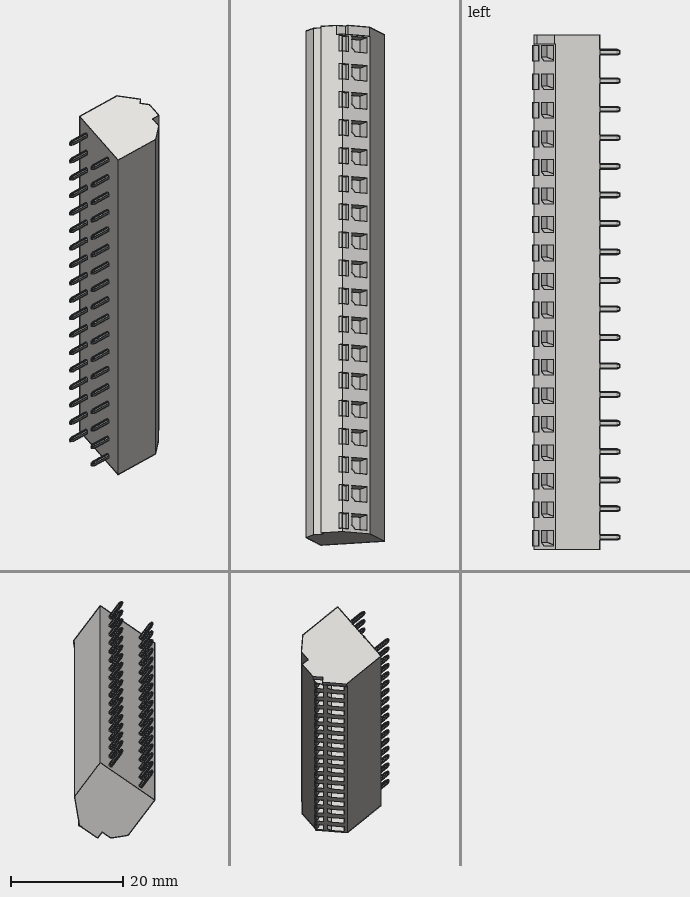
import cadquery as cq
import math


pole_count = 18
pole_pitch = 5.08
body_width = 12.0
body_length = 91.67
pin_length = 3.6
overall_depth = 15.57

body_height = 11.74
entry_corner_height = 7.85
back_corner_height = 8.15
back_step_x = 7.9
back_step_height = 10.36
back_slope_run = back_step_height - back_corner_height

cap_length = 1.65
cap_rise = 0.25
crest_x = 3.05
groove_depth = 0.65

first_pole_z = body_length - 3.1
pole_width = 2.8
pole_drop = 0.2

lever_tip_height = overall_depth - pin_length
lever_tip_x = 3.85
lever_lean = 0.35
lever_bend_height = 10.8

entry_top_height = 10.4
entry_bottom_height = 8.28
entry_straight_depth = 1.4
entry_depth = 2.9
entry_corner_chamfer = 0.7
entry_flare_angle = 20.0

pin_columns_x = (2.2, 8.85)
pin_width = 0.6
pin_thickness = 1.05
pin_edge_chamfer = 0.2
pin_tip_length = 0.5
pin_tip_scale = 0.55
pin_embed = 0.5

pole_bottom = -pole_drop - pole_width / 2
pole_positions_z = [first_pole_z - i * pole_pitch for i in range(pole_count)]


def slope_point(height):
    """Point on the 45 degree entry slope of the body at a given Y."""
    return (height - entry_corner_height, height)


def extrude_outline(points, z_start, length):
    return cq.Workplane("XY", origin=(0, 0, z_start)).polyline(points).close().extrude(length)


def back_outline():
    """Outline shared by body and cap: base, back side, back slope and step up to the flat top."""
    return [
        (0, 0),
        (body_width, 0),
        (body_width, back_corner_height),
        (body_width - back_slope_run, back_step_height),
        (back_step_x, back_step_height),
        (back_step_x, body_height),
    ]


def make_body():
    outline = back_outline() + [slope_point(body_height), slope_point(entry_corner_height)]
    return extrude_outline(outline, 0, body_length - cap_length)


def make_end_cap():
    corner_height = entry_corner_height + cap_rise
    crest = (crest_x, corner_height + crest_x)
    groove = (crest[0] + groove_depth, crest[1] - groove_depth)
    flat_start = (groove[0] + body_height - groove[1], body_height)
    outline = back_outline() + [flat_start, groove, crest, (0, corner_height)]
    return extrude_outline(outline, body_length - cap_length, cap_length)


def make_groove_cut():
    """Open the slope in front of the lever."""
    crest = slope_point(crest_x + entry_corner_height)
    groove = (crest[0] + groove_depth, crest[1] - groove_depth)
    outline = [
        crest,
        groove,
        (lever_tip_x + lever_lean, lever_bend_height),
        (lever_tip_x, lever_tip_height),
        (crest[0], lever_tip_height),
    ]
    return extrude_outline(outline, pole_bottom, pole_width)


def make_lever_tip():
    """Ridge of the lever standing out of the flat top."""
    root_x = lever_tip_x + lever_lean
    outline = [
        (lever_tip_x, lever_tip_height),
        (root_x, lever_bend_height),
        (root_x + lever_lean, lever_bend_height),
        (root_x + lever_lean, body_height),
    ]
    return extrude_outline(outline, pole_bottom, pole_width)


def make_wire_entry():
    """Pocket square to the slope: a straight mouth, a flared upper wall, chamfered lower corners."""
    mouth_top = slope_point(entry_top_height)
    mouth_bottom = slope_point(entry_bottom_height)
    mouth_height = math.dist(mouth_top, mouth_bottom)
    flare = (entry_depth - entry_straight_depth) * math.tan(math.radians(entry_flare_angle))
    mouth_plane = cq.Plane(
        origin=(mouth_bottom[0], mouth_bottom[1], -pole_drop),
        xDir=(1, 1, 0),
        normal=(-1, 1, 0),
    )
    side_plane = cq.Plane(
        origin=(mouth_bottom[0], mouth_bottom[1], pole_bottom),
        xDir=(1, 1, 0),
        normal=(0, 0, 1),
    )
    side_outline = [
        (0, 0),
        (mouth_height, 0),
        (mouth_height, -entry_straight_depth),
        (mouth_height - flare, -entry_depth),
        (0, -entry_depth),
    ]
    pocket = cq.Workplane(side_plane).polyline(side_outline).close().extrude(pole_width)
    lower_edge = pole_width / 2
    corner_outline = [
        (mouth_height - entry_corner_chamfer, lower_edge),
        (mouth_height, lower_edge),
        (mouth_height, lower_edge - entry_corner_chamfer),
    ]
    corner = cq.Workplane(mouth_plane).polyline(corner_outline).close().extrude(-entry_depth)
    return pocket.cut(corner)


def make_pin(x):
    """Flat pin with bevelled edges and a tapered tip."""
    shank_length = pin_length - pin_tip_length
    shank = (
        cq.Workplane("XZ", origin=(x, pin_embed, 0))
        .rect(pin_width, pin_thickness)
        .extrude(pin_embed + shank_length)
        .edges("|Y")
        .chamfer(pin_edge_chamfer)
    )
    half_width = pin_width / 2
    half_thickness = pin_thickness / 2
    bevel = pin_edge_chamfer
    quarter = [(half_width, half_thickness - bevel), (half_width - bevel, half_thickness)]
    half = quarter + [(-px, pz) for px, pz in reversed(quarter)]
    section = half + [(-px, -pz) for px, pz in half]
    tip_section = [(px * pin_tip_scale, pz * pin_tip_scale) for px, pz in section]
    tip = (
        cq.Workplane("XZ", origin=(x, -shank_length, 0))
        .polyline(section)
        .close()
        .workplane(offset=pin_tip_length)
        .polyline(tip_section)
        .close()
        .loft(ruled=True)
    )
    return shank.union(tip)


def repeat_at_poles(features):
    """Copies of the given features, modelled at Z = 0, at every pole."""
    return [feature.val().translate(cq.Vector(0, 0, z)) for z in pole_positions_z for feature in features]


cuts = repeat_at_poles([make_groove_cut(), make_wire_entry()])
additions = repeat_at_poles([make_lever_tip()] + [make_pin(x) for x in pin_columns_x])

housing = make_body().union(make_end_cap()).val()
terminal_block = housing.cut(*cuts).fuse(*additions)
result = cq.Workplane(terminal_block.Solids()[0])